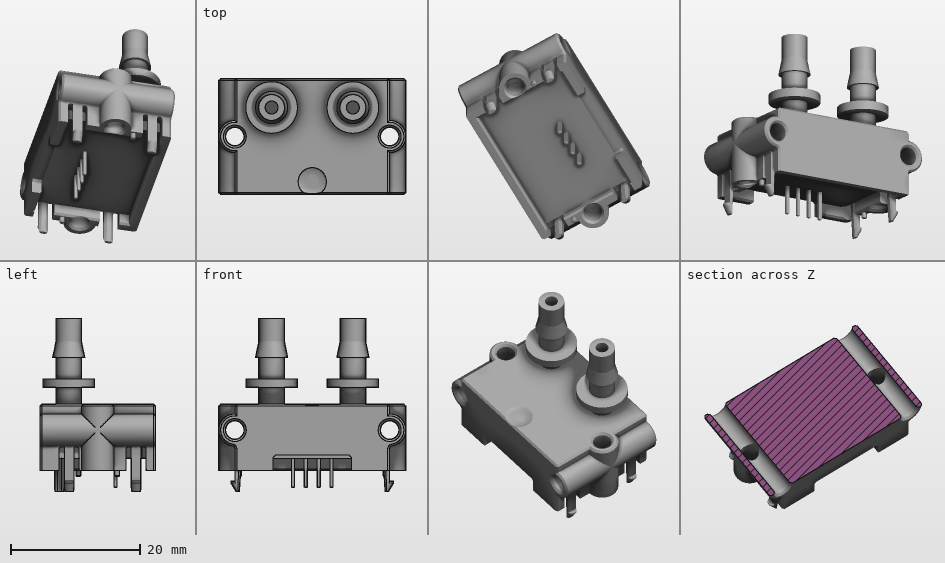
import cadquery as cq
import math

housing_length = 24.0
housing_width = 17.95
housing_height = 10.3
edge_chamfer = 0.3
wall = 1.5
floor_z = 1.9
half_length = housing_length / 2
half_width = housing_width / 2

tube_radius = 2.5
tube_blend = 0.45
tube_depth = 4.0
tube_z = housing_height - tube_depth
screw_hole_diameter = 2.85
countersink_diameter = 3.55

port_x = 6.3
port_y = 4.5
port_radius = 2.0
port_bore_radius = 1.0
port_top = 23.6
flange_radius = 4.0
flange_bottom = 12.9
flange_top = 14.25
barb_radius = 2.5
barb_bottom = 17.55
barb_top = 19.95

dimple_y = -7.0
dimple_radius = 2.18
dimple_floor_radius = 1.12
dimple_depth = 0.3

opening_width = 12.1
opening_height = 2.4
opening_chamfer = 0.35
pin_size = 0.5
pin_pitch = 2.0
pin_count = 4
pin_y = -2.75
pin_length = 2.6
pin_tip_chamfer = 0.1

peg_diameter = 0.8
peg_length = 0.9
peg_x = 11.35
peg_y = 3.0
peg_chamfer = 0.12

latch_width = 1.5
latch_length = 3.25
latch_front_y = -5.94
latch_back_y = 4.43
latch_inner_width = 0.65
latch_bevel_x = 11.53
latch_root_x = 10.85
latch_tip_x = 11.29
latch_slot = 0.8
latch_slot_top = 3.68
latch_slot_chamfer = 0.2
core_corner_bevel = 0.6
hook_reach = 0.6
hook_corner = 0.67
hook_top = -1.62
hook_edge = -1.9
hook_setback = 0.8


def build_shell():
    """Box with the horizontal tubes blended into its ends, plus vertical tubes."""
    blend_center_x = half_length + tube_blend
    blend_drop = math.sqrt((tube_radius + tube_blend) ** 2 - tube_blend ** 2)
    blend_z = tube_z - blend_drop
    share = tube_radius / (tube_radius + tube_blend)
    tangent_x = half_length + tube_blend * share
    tangent_z = tube_z - blend_drop * share
    blend_angle = (math.pi + math.atan2(blend_drop, -tube_blend)) / 2
    blend_mid_x = blend_center_x + tube_blend * math.cos(blend_angle)
    blend_mid_z = blend_z + tube_blend * math.sin(blend_angle)
    half_profile = (
        cq.Workplane("XZ", origin=(0, half_width, 0))
        .lineTo(half_length, 0)
        .lineTo(half_length, blend_z)
        .threePointArc((blend_mid_x, blend_mid_z), (tangent_x, tangent_z))
        .threePointArc((half_length + tube_radius, tube_z), (half_length, tube_z + tube_radius))
        .lineTo(half_length, housing_height)
        .lineTo(0, housing_height)
        .close()
    )
    half = half_profile.extrude(housing_width)
    shell = half.union(half.mirror("YZ"))
    tubes = (
        cq.Workplane("XY")
        .pushPoints([(-half_length, 0), (half_length, 0)])
        .circle(tube_radius)
        .extrude(housing_height)
    )
    shell = shell.union(tubes).clean()
    chamfered_faces = shell.faces("<Y or >Y or >Z")
    return chamfered_faces.edges("not <Z").chamfer(edge_chamfer)


def screw_hole(direction, length):
    """Through hole along an axis, countersunk at both ends, centred on the origin."""
    hole_radius = screw_hole_diameter / 2
    sink_radius = countersink_diameter / 2
    sink_depth = sink_radius - hole_radius
    half = length / 2
    profile = (
        cq.Workplane("XZ")
        .moveTo(0, -half)
        .lineTo(sink_radius, -half)
        .lineTo(hole_radius, -half + sink_depth)
        .lineTo(hole_radius, half - sink_depth)
        .lineTo(sink_radius, half)
        .lineTo(0, half)
        .close()
    )
    hole = profile.revolve(360, (0, 0, 0), (0, 1, 0))
    if direction == "Y":
        hole = hole.rotate((0, 0, 0), (1, 0, 0), 90)
    return hole


def base_cavity():
    """Open space under the core, flared by a chamfer at the rim."""
    length = housing_length - 2 * wall
    width = housing_width - 2 * wall
    cavity = cq.Workplane("XY").rect(length, width).extrude(floor_z)
    flare = (
        cq.Workplane("XY")
        .rect(length + 2 * edge_chamfer, width + 2 * edge_chamfer)
        .workplane(offset=edge_chamfer)
        .rect(length, width)
        .loft(ruled=True)
    )
    return cavity.union(flare)


def connector_opening():
    """Notch through the front wall in front of the pins."""
    return (
        cq.Workplane("XY", origin=(0, -half_width + wall / 2, 0))
        .box(opening_width, wall, opening_height, centered=(True, True, False))
        .edges("|Y and >Z")
        .chamfer(opening_chamfer)
    )


def dimple():
    """Dish with a flat floor and a concave rounded side."""
    run = dimple_radius - dimple_floor_radius
    dish_radius = (run ** 2 + dimple_depth ** 2) / (2 * dimple_depth)
    mid_run = run / 2
    mid_rise = dish_radius - math.sqrt(dish_radius ** 2 - mid_run ** 2)
    profile = (
        cq.Workplane("XZ")
        .moveTo(0, -dimple_depth)
        .lineTo(dimple_floor_radius, -dimple_depth)
        .threePointArc(
            (dimple_floor_radius + mid_run, -dimple_depth + mid_rise),
            (dimple_radius, 0),
        )
        .lineTo(0, 0)
        .close()
    )
    dish = profile.revolve(360, (0, 0, 0), (0, 1, 0))
    return dish.translate((0, dimple_y, housing_height))


def port():
    """Barbed hose port with a round flange, standing on the top face."""
    profile = (
        cq.Workplane("XZ")
        .moveTo(port_bore_radius, housing_height)
        .lineTo(port_radius, housing_height)
        .lineTo(port_radius, flange_bottom)
        .lineTo(flange_radius, flange_bottom)
        .lineTo(flange_radius, flange_top)
        .lineTo(port_radius, flange_top)
        .lineTo(port_radius, barb_bottom)
        .lineTo(barb_radius, barb_bottom)
        .lineTo(port_radius, barb_top)
        .lineTo(port_radius, port_top)
        .lineTo(port_bore_radius, port_top)
        .close()
    )
    return profile.revolve(360, (0, 0, 0), (0, 1, 0))


def pin():
    """Square contact pin hanging from the core."""
    return (
        cq.Workplane("XY", origin=(0, pin_y, -pin_length))
        .rect(pin_size, pin_size)
        .extrude(pin_length + floor_z)
        .faces("<Z")
        .chamfer(pin_tip_chamfer)
    )


def peg():
    """Round locating peg under the base."""
    return (
        cq.Workplane("XY", origin=(0, 0, -peg_length))
        .circle(peg_diameter / 2)
        .extrude(peg_length)
        .faces("<Z")
        .chamfer(peg_chamfer)
    )


def latch_pocket():
    """Space around a latch on the +X end, cut before the latch is added."""
    pocket_width = latch_width + 2 * latch_slot
    inner_x = half_length - wall
    reach = wall + tube_radius
    pocket = (
        cq.Workplane("XY", origin=(inner_x, 0, 0))
        .box(reach, pocket_width, latch_slot_top, centered=(False, True, False))
        .edges("|X and >Z")
        .chamfer(latch_slot_chamfer)
    )
    kept_blend = (
        cq.Workplane("XY", origin=(half_length, 0, 0))
        .box(tube_radius, latch_width, latch_slot_top, centered=(False, True, False))
    )
    return pocket.cut(kept_blend)


def core_corner_relief():
    """Wedge that bevels the front core corner next to the latch pocket on the +X end."""
    corner_x = half_length - wall
    corner_y = wall - half_width
    return (
        cq.Workplane("XY")
        .polyline([
            (corner_x, corner_y),
            (corner_x, corner_y + core_corner_bevel),
            (corner_x - core_corner_bevel, corner_y),
        ])
        .close()
        .extrude(latch_slot_top)
    )


def latch():
    """Snap latch on the +X end: tapered bevelled stem with a rounded hook."""
    half = latch_width / 2
    half_inner = latch_inner_width / 2
    outer_limit = half_length + hook_reach

    def stem_outline(plane, inner_x):
        bevel_x = latch_bevel_x + (inner_x - latch_tip_x) / 2
        return plane.polyline([
            (outer_limit, -half), (outer_limit, half), (bevel_x, half),
            (inner_x, half_inner), (inner_x, -half_inner), (bevel_x, -half),
        ]).close()

    root = stem_outline(cq.Workplane("XY", origin=(0, 0, latch_slot_top)), latch_root_x)
    tip_plane = root.workplane(offset=-(latch_slot_top + latch_length))
    blank = stem_outline(tip_plane, latch_tip_x).loft(ruled=True)

    def hook_outline(plane, setback):
        tip_x = outer_limit - setback
        side_x = tip_x - hook_corner
        flat = half - hook_corner
        arc_inset = hook_corner * (1 - math.sqrt(0.5))
        return (
            plane.moveTo(latch_root_x - wall, -half)
            .lineTo(side_x, -half)
            .threePointArc((tip_x - arc_inset, -half + arc_inset), (tip_x, -flat))
            .lineTo(tip_x, flat)
            .threePointArc((tip_x - arc_inset, half - arc_inset), (side_x, half))
            .lineTo(latch_root_x - wall, half)
            .close()
        )

    edge_plane = cq.Workplane("XY", origin=(0, 0, hook_edge))
    rim = hook_outline(edge_plane, 0).extrude(hook_top - hook_edge)
    slope_start = hook_outline(edge_plane, 0)
    slope_plane = slope_start.workplane(offset=-(latch_length + hook_edge))
    slope = hook_outline(slope_plane, hook_setback).loft(ruled=True)
    stem = (
        cq.Workplane("XY", origin=(half_length - wall, 0, hook_edge))
        .box(wall, latch_width, latch_slot_top - hook_edge, centered=(False, True, False))
    )
    return blank.intersect(stem.union(rim).union(slope))


result = build_shell().cut(base_cavity()).cut(connector_opening()).cut(dimple())

latch_places = [
    (-1, latch_front_y),
    (-1, latch_back_y),
    (1, latch_front_y),
    (1, -latch_front_y),
]
for side, latch_y in latch_places:
    turn = 0 if side > 0 else 180
    pocket = latch_pocket().rotate((0, 0, 0), (0, 0, 1), turn).translate((0, latch_y, 0))
    snap = latch().rotate((0, 0, 0), (0, 0, 1), turn).translate((0, latch_y, 0))
    result = result.cut(pocket).union(snap)

relief = core_corner_relief()
result = result.cut(relief).cut(relief.mirror("YZ"))

for side in (-1, 1):
    end_x = side * half_length
    vertical_hole = screw_hole("Z", housing_height).translate((end_x, 0, housing_height / 2))
    horizontal_hole = screw_hole("Y", housing_width).translate((end_x, 0, tube_z))
    result = result.cut(vertical_hole).cut(horizontal_hole)
    result = result.union(port().translate((side * port_x, port_y, 0)))
    result = result.union(peg().translate((side * peg_x, side * peg_y, 0)))

for index in range(pin_count):
    pin_x = (index - (pin_count - 1) / 2) * pin_pitch
    result = result.union(pin().translate((pin_x, 0, 0)))